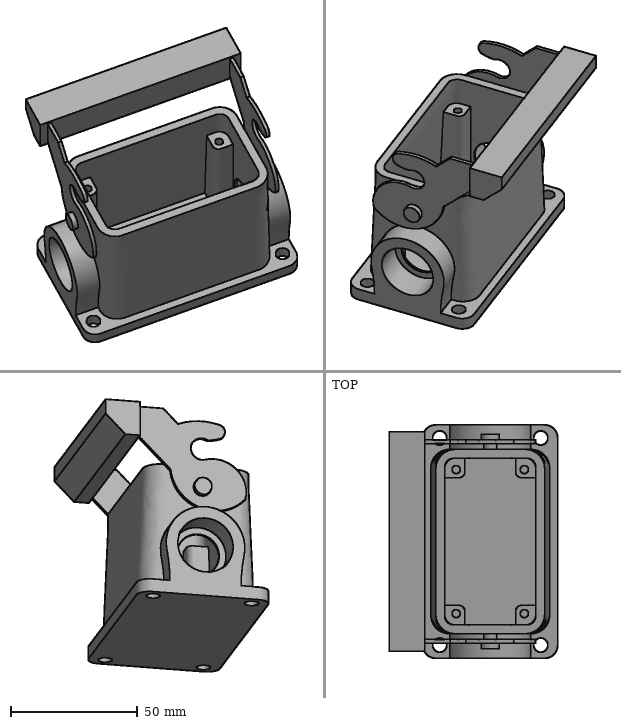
import cadquery as cq
import math

base_width = 53.5
base_length = 92.5
base_thickness = 5.25
base_corner_radius = 5.25
mount_hole_diameter = 5.5
mount_hole_x = 20.0
mount_hole_y = 41.0

shell_top_width = 43.0
shell_length = 73.0
shell_top_z = 57.0
rim_height = 5.5
rim_bottom_z = shell_top_z - rim_height
draft_angle = 2.5
draft_spread = (rim_bottom_z - base_thickness) * math.tan(math.radians(draft_angle))
shell_bottom_width = shell_top_width + 2 * draft_spread
shell_corner_radius = 7.5
wall = 3.5
cavity_corner_radius = shell_corner_radius - wall

post_top_z = 45.0
post_inner_x = 10.0
post_inner_y = 25.25
post_corner_radius = 2.5
post_hole_diameter = 3.2
post_hole_depth = 12.0
post_hole_x = 13.5
post_hole_y = 28.5

port_z = 21.1
port_radius = 16.0
port_foot_half_width = 14.5
port_hole_diameter = 17.0
port_bore_diameter = 22.5
port_bore_depth = 12.25

plate_inner_y = 38.75
plate_thickness = 1.5
plate_outer_y = plate_inner_y + plate_thickness
pivot_z = 47.0
pivot_shaft_diameter = 5.0
pivot_head_diameter = 7.0
pivot_head_height = 2.25

bar_length = 87.0
bar_size = 14.0
bar_left_x = -40.0
bar_right_x = bar_left_x + bar_size
bar_top_z = 79.8
bar_bottom_z = bar_top_z - bar_size
bar_chamfer = 8.0

arm_top_z = 78.9
arm_top_line = 63.1
arm_bottom_line = 40.85
hook_center = (0.0, 48.5)
hook_radius = 26.25
hook_tip_angle = 74.0
hook_tip_radius = 3.0
hook_tip_end_angle = -75.0
hook_underside_sag = 0.2
slot_center = (0.0, 63.15)
slot_radius = 4.5
slot_mouth_angle = 60.0
lobe_center = (5.0, 46.4)
lobe_radius = 13.0
cam_center = (4.7, 55.3)
cam_radius = 17.5


def polar(center, radius, angle):
    """Point at an angle in degrees on a circle."""
    turn = math.radians(angle)
    return (center[0] + radius * math.cos(turn), center[1] + radius * math.sin(turn))


def angle_to(center, point):
    """Direction in degrees from a center to a point."""
    return math.degrees(math.atan2(point[1] - center[1], point[0] - center[0]))


def left_crossing(center, radius, line_sum):
    """Left-hand point where the line X + Z = line_sum meets a circle."""
    offset = (line_sum - center[0] - center[1]) / 2
    half_chord = math.sqrt(radius**2 / 2 - offset**2)
    return (center[0] + offset - half_chord, center[1] + offset + half_chord)


def right_intersection(center_a, radius_a, center_b, radius_b):
    """Right-hand point where circle A meets circle B above it."""
    gap = math.dist(center_a, center_b)
    along = (gap**2 + radius_a**2 - radius_b**2) / (2 * gap)
    spread = math.degrees(math.acos(along / radius_a))
    return polar(center_a, radius_a, angle_to(center_a, center_b) - spread)


def rounded_block(width, length, radius, bottom_z, top_z):
    return (
        cq.Workplane("XY", origin=(0, 0, bottom_z))
        .rect(width, length)
        .extrude(top_z - bottom_z)
        .edges("|Z")
        .fillet(radius)
    )


def tapered_block(top_width, bottom_width, length, radius):
    """Rounded rectangle that widens in X from the rim down to the base top."""
    lower = cq.Sketch().rect(bottom_width, length).vertices().fillet(radius)
    upper = cq.Sketch().rect(top_width, length).vertices().fillet(radius)
    return (
        cq.Workplane("XY", origin=(0, 0, base_thickness))
        .placeSketch(lower, upper.moved(cq.Location(cq.Vector(0, 0, rim_bottom_z - base_thickness))))
        .loft(ruled=True)
    )


def shell_form(inset, radius):
    """Tapered walls and straight rim, with every side moved inwards by the inset."""
    top_width = shell_top_width - 2 * inset
    bottom_width = shell_bottom_width - 2 * inset
    length = shell_length - 2 * inset
    walls = tapered_block(top_width, bottom_width, length, radius)
    rim = rounded_block(top_width, length, radius, rim_bottom_z, shell_top_z)
    return walls.union(rim)


def cable_port(side):
    """Round boss on a waisted foot, from the cavity wall out to the end of the base."""
    drop = port_z - base_thickness
    narrowing = port_radius - port_foot_half_width
    foot_radius = (drop**2 / narrowing - port_radius - port_foot_half_width) / 2
    reach = port_radius + foot_radius
    touch_x = port_radius * (port_foot_half_width + foot_radius) / reach
    touch_z = port_z - port_radius * drop / reach
    inner_y = shell_length / 2 - wall
    depth = base_length / 2 - inner_y
    return (
        cq.Workplane("XZ", origin=(0, side * inner_y, 0))
        .moveTo(-port_foot_half_width, 0)
        .lineTo(-port_foot_half_width, base_thickness)
        .radiusArc((-touch_x, touch_z), -foot_radius)
        .threePointArc((0, port_z + port_radius), (touch_x, touch_z))
        .radiusArc((port_foot_half_width, base_thickness), -foot_radius)
        .lineTo(port_foot_half_width, 0)
        .close()
        .extrude(-side * depth)
    )


def port_bore(side):
    """Counterbore that stops short of the cavity."""
    return (
        cq.Workplane("XZ", origin=(0, side * base_length / 2, port_z))
        .circle(port_bore_diameter / 2)
        .extrude(side * port_bore_depth)
    )


def screw_posts(envelope):
    """Four cavity corner posts, trimmed to the outer form of the shell."""
    size_x = shell_bottom_width / 2 - post_inner_x
    size_y = shell_length / 2 - post_inner_y
    posts = (
        cq.Workplane("XY", origin=(0, 0, base_thickness))
        .rect(2 * post_inner_x + size_x, 2 * post_inner_y + size_y, forConstruction=True)
        .vertices()
        .rect(size_x, size_y)
        .extrude(post_top_z - base_thickness)
        .edges("|Z")
        .fillet(post_corner_radius)
    )
    return posts.intersect(envelope)


def make_housing():
    outer = shell_form(0, shell_corner_radius)
    cavity = shell_form(wall, cavity_corner_radius)
    body = rounded_block(base_width, base_length, base_corner_radius, 0, base_thickness).union(outer)
    for side in (-1, 1):
        body = body.union(cable_port(side))
    body = body.cut(cavity).union(screw_posts(outer))
    for side in (-1, 1):
        body = body.cut(port_bore(side))
    port_holes = (
        cq.Workplane("XZ", origin=(0, 0, port_z))
        .circle(port_hole_diameter / 2)
        .extrude(base_length / 2, both=True)
    )
    mount_holes = (
        cq.Workplane("XY")
        .rect(2 * mount_hole_x, 2 * mount_hole_y, forConstruction=True)
        .vertices()
        .circle(mount_hole_diameter / 2)
        .extrude(base_thickness)
    )
    post_holes = (
        cq.Workplane("XY", origin=(0, 0, post_top_z))
        .rect(2 * post_hole_x, 2 * post_hole_y, forConstruction=True)
        .vertices()
        .circle(post_hole_diameter / 2)
        .extrude(-post_hole_depth)
    )
    return body.cut(port_holes).cut(mount_holes).cut(post_holes)


def lever_outline(plane_y):
    """Closed outline of one lever plate, drawn clockwise from the bar."""
    hook_root = left_crossing(hook_center, hook_radius, arm_top_line)
    hook_end = polar(hook_center, hook_radius, hook_tip_angle)
    hook_top = polar(hook_center, hook_radius, 90)
    tip_center = polar(hook_center, hook_radius - hook_tip_radius, hook_tip_angle)
    tip_front = polar(tip_center, hook_tip_radius, 0)
    tip_end = polar(tip_center, hook_tip_radius, hook_tip_end_angle)
    slot_mouth = polar(slot_center, slot_radius, slot_mouth_angle)
    slot_back = polar(slot_center, slot_radius, 180)
    slot_end = polar(slot_center, slot_radius, angle_to(slot_center, lobe_center))
    lobe_middle = polar(lobe_center, lobe_radius, 45)
    lobe_end = right_intersection(lobe_center, lobe_radius, cam_center, cam_radius)
    cam_bottom = polar(cam_center, cam_radius, -90)
    cam_end = left_crossing(cam_center, cam_radius, arm_bottom_line)
    return (
        cq.Workplane("XZ", origin=(0, plane_y, 0))
        .moveTo(bar_right_x, arm_bottom_line - bar_right_x)
        .lineTo(bar_right_x, arm_top_z)
        .lineTo(arm_top_line - arm_top_z, arm_top_z)
        .lineTo(*hook_root)
        .threePointArc(hook_top, hook_end)
        .threePointArc(tip_front, tip_end)
        .sagittaArc(slot_mouth, hook_underside_sag)
        .threePointArc(slot_back, slot_end)
        .threePointArc(lobe_middle, lobe_end)
        .threePointArc(cam_bottom, cam_end)
        .close()
    )


def pivot_cylinder(side, diameter, start_y, end_y):
    return (
        cq.Workplane("XZ", origin=(0, side * start_y, pivot_z))
        .circle(diameter / 2)
        .extrude(-side * (end_y - start_y))
    )


def make_lever():
    chamfer_x = bar_left_x + bar_chamfer
    chamfer_z = bar_bottom_z + bar_chamfer
    lever = (
        cq.Workplane("XZ")
        .moveTo(bar_left_x, bar_top_z)
        .lineTo(bar_right_x, bar_top_z)
        .lineTo(bar_right_x, bar_bottom_z)
        .lineTo(chamfer_x, bar_bottom_z)
        .lineTo(bar_left_x, chamfer_z)
        .close()
        .extrude(bar_length / 2, both=True)
    )
    for side in (-1, 1):
        plate = lever_outline(side * plate_inner_y).extrude(-side * plate_thickness)
        shaft = pivot_cylinder(side, pivot_shaft_diameter, shell_length / 2, plate_outer_y)
        head = pivot_cylinder(side, pivot_head_diameter, plate_outer_y, plate_outer_y + pivot_head_height)
        lever = lever.union(plate).union(shaft).union(head)
    return lever


housing = make_housing()
lever = make_lever()
result = cq.Compound.makeCompound([housing.val(), lever.val()])